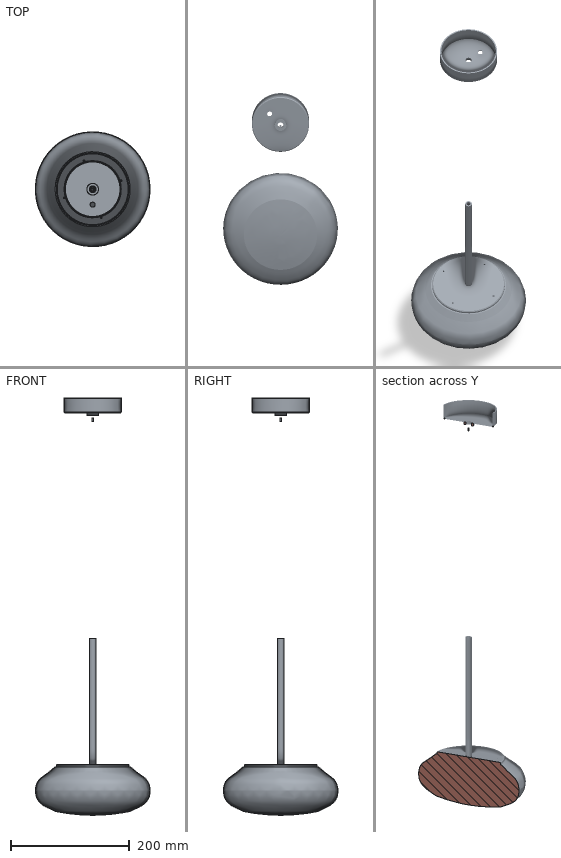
import cadquery as cq
import math


TOTAL_HEIGHT = 703.0

CANOPY_DIAMETER = 96.0
CANOPY_HEIGHT = 24.5
CANOPY_WALL = 2.0
CANOPY_FLOOR = 1.5
CANOPY_CHAMFER = 1.5
GLAND_RADIUS = 10.0
GLAND_HEIGHT = 4.0
GLAND_BORE_RADIUS = 5.0
SIDE_HOLE_RADIUS = 4.0
SIDE_HOLE_OFFSET = 26.0

CABLE_RADIUS = 1.5
CABLE_LENGTH = 6.0
CABLE_GAP = 4.0

STEM_RADIUS = 5.5
STEM_BORE_RADIUS = 3.5
STEM_LENGTH = 212.0

SHADE_DIAMETER = 193.0
EQUATOR_HEIGHT = 41.5
SHOULDER_RADIUS = 73.0
SHOULDER_HEIGHT = 73.0
NECK_RADIUS = 63.0
NECK_HEIGHT = 81.5
FOOT_RADIUS = 62.0
FOOT_HEIGHT = 6.0
CAP_RADIUS = 61.0
CAP_THICKNESS = 4.0
CAP_CHAMFER = 1.5
CAP_HOLE_RADIUS = 1.5
CAP_HOLE_COUNT = 4
CAP_HOLE_CIRCLE_RADIUS = 50.0
CAP_HOLE_START_ANGLE = 17.0

canopy_radius = CANOPY_DIAMETER / 2
canopy_bottom = TOTAL_HEIGHT - CANOPY_HEIGHT
gland_bottom = canopy_bottom - GLAND_HEIGHT
cable_top = gland_bottom - CABLE_GAP
shade_radius = SHADE_DIAMETER / 2
cap_top = NECK_HEIGHT + CAP_THICKNESS


def cylinder(radius, bottom, height, x=0.0, y=0.0):
    """Upright cylinder whose bottom circle is centred on (x, y, bottom)."""
    return cq.Workplane("XY", origin=(x, y, bottom)).circle(radius).extrude(height)


def make_canopy():
    cup = cylinder(canopy_radius, canopy_bottom, CANOPY_HEIGHT).faces("<Z").chamfer(CANOPY_CHAMFER)
    cavity = cylinder(canopy_radius - CANOPY_WALL, canopy_bottom + CANOPY_FLOOR, CANOPY_HEIGHT)
    gland = cylinder(GLAND_RADIUS, gland_bottom, GLAND_HEIGHT)
    gland_bore = cylinder(GLAND_BORE_RADIUS, gland_bottom, GLAND_HEIGHT + CANOPY_FLOOR)
    side_hole = cylinder(SIDE_HOLE_RADIUS, canopy_bottom, CANOPY_FLOOR, y=-SIDE_HOLE_OFFSET)
    return cup.cut(cavity).union(gland).cut(gland_bore).cut(side_hole)


def make_cable():
    return cylinder(CABLE_RADIUS, cable_top - CABLE_LENGTH, CABLE_LENGTH)


def make_stem():
    tube = cylinder(STEM_RADIUS, cap_top, STEM_LENGTH)
    return tube.cut(cylinder(STEM_BORE_RADIUS, cap_top, STEM_LENGTH))


def make_shade_body():
    """Revolved half profile: conical neck, bulging side and domed underside."""
    down = (0, -1)
    inward = (-1, 0)
    shoulder_slope = (1, -0.7)
    side_end_slope = (-1, -0.5)
    dome_start_slope = (-1, -0.2)
    equator = (shade_radius, EQUATOR_HEIGHT)
    foot = (FOOT_RADIUS, FOOT_HEIGHT)
    profile = (
        cq.Workplane("XZ")
        .moveTo(0, NECK_HEIGHT)
        .lineTo(NECK_RADIUS, NECK_HEIGHT)
        .lineTo(SHOULDER_RADIUS, SHOULDER_HEIGHT)
        .spline([equator], tangents=[shoulder_slope, down], includeCurrent=True)
        .spline([foot], tangents=[down, side_end_slope], includeCurrent=True)
        .spline([(0, 0)], tangents=[dome_start_slope, inward], includeCurrent=True)
        .close()
    )
    return profile.revolve(360, (0, 0, 0), (0, 1, 0))


def make_shade():
    cap = cylinder(CAP_RADIUS, NECK_HEIGHT, CAP_THICKNESS).faces(">Z").chamfer(CAP_CHAMFER)
    shade = make_shade_body().union(cap)
    for index in range(CAP_HOLE_COUNT):
        angle = math.radians(CAP_HOLE_START_ANGLE + index * 360 / CAP_HOLE_COUNT)
        hole_x = CAP_HOLE_CIRCLE_RADIUS * math.cos(angle)
        hole_y = CAP_HOLE_CIRCLE_RADIUS * math.sin(angle)
        shade = shade.cut(cylinder(CAP_HOLE_RADIUS, NECK_HEIGHT, CAP_THICKNESS, hole_x, hole_y))
    return shade


canopy = make_canopy()
cable = make_cable()
stem = make_stem()
shade = make_shade()

result = cq.Compound.makeCompound([canopy.val(), cable.val(), stem.val(), shade.val()])